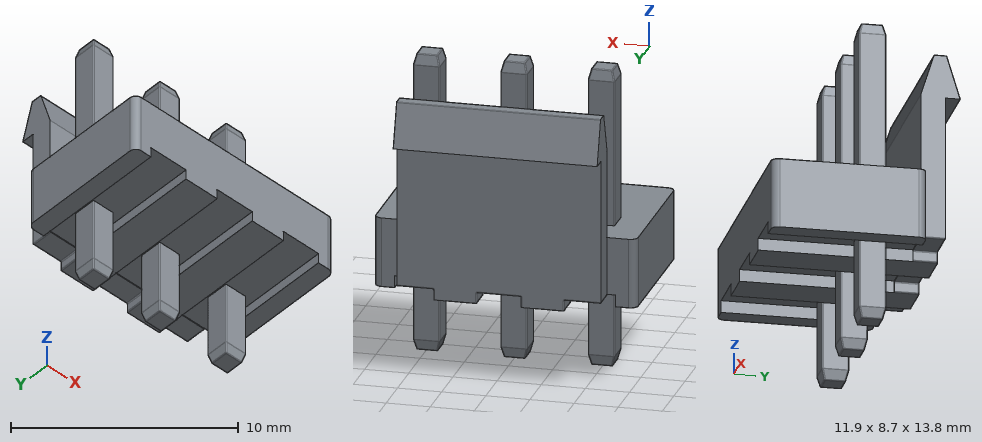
import cadquery as cq


pin_count = 3
pitch = 3.96
pin_width = 1.2
pin_above_housing = 7.2
pin_below_housing = 3.4
pin_tip_length = 0.5
pin_tip_inset = 0.13

edge_radius = 0.05

overall_depth = 8.7
housing_length = pin_count * pitch
housing_depth = 6.93
housing_height = 3.2
housing_corner_radius = 0.35
pin_to_housing_back = 2.14
housing_back = pin_to_housing_back
housing_front = housing_back - housing_depth

latch_length = 9.24
latch_thickness = 1.11
latch_height = 9.1
latch_back = housing_back + latch_thickness
hook_tip = housing_front + overall_depth
hook_height = 1.98
ramp_height = 1.9
hook_bottom = latch_height - hook_height
ramp_bottom = latch_height - ramp_height
latch_top_setback = 0.6
latch_top_width = 0.56
latch_top_radius = 0.04

latch_notch_width = 2.0
latch_notch_height = 0.5
housing_notch_width = latch_notch_width + 2 * edge_radius
housing_notch_height = latch_notch_height + edge_radius

pin_positions = [(i - (pin_count - 1) / 2) * pitch for i in range(pin_count)]


def cut_notches(body, front, depth, width, height):
    """Cut one front-to-back notch into the underside of a body at each pin."""
    for x in pin_positions:
        notch = cq.Workplane("XY").box(width, depth, height, centered=(True, False, False))
        body = body.cut(notch.translate((x, front, 0)))
    return body


def make_housing():
    block = (
        cq.Workplane("XY")
        .center(0, (housing_back + housing_front) / 2)
        .rect(housing_length, housing_depth)
        .extrude(housing_height)
        .edges("|Z")
        .fillet(housing_corner_radius)
    )
    return cut_notches(block, housing_front, housing_depth, housing_notch_width, housing_notch_height)


def make_latch_wall():
    """Hooked wall with the two long edges of its flat top rounded."""
    top_front = housing_back + latch_top_setback
    profile = [
        (housing_back, 0),
        (housing_back, ramp_bottom),
        (top_front, latch_height),
        (top_front + latch_top_width, latch_height),
        (hook_tip, hook_bottom),
        (latch_back, hook_bottom),
        (latch_back, 0),
    ]
    wall = cq.Workplane("YZ").polyline(profile).close().extrude(latch_length / 2, both=True)
    return wall.faces(">Z").edges("|X").fillet(latch_top_radius)


def make_latch():
    """Latch wall with notches, rounded along the notches and around their back rims."""
    latch = cut_notches(
        make_latch_wall(), housing_back, latch_thickness, latch_notch_width, latch_notch_height
    )
    foot = cq.selectors.BoxSelector(
        (-latch_length, housing_back, -edge_radius),
        (latch_length, latch_back + edge_radius, latch_notch_height + edge_radius),
    )
    back_rim = cq.selectors.BoxSelector(
        (-latch_length, latch_back - edge_radius, edge_radius),
        (latch_length, latch_back + edge_radius, latch_notch_height + edge_radius),
    )
    lengthwise_edges = latch.edges("|Y").edges(foot)
    return lengthwise_edges.add(latch.edges(back_rim)).fillet(edge_radius)


def make_pin(x):
    """Square pin with both ends tapered and every edge slightly rounded."""
    pin_length = pin_below_housing + housing_height + pin_above_housing
    return (
        cq.Workplane("XY")
        .box(pin_width, pin_width, pin_length, centered=(True, True, False))
        .faces("<Z or >Z")
        .chamfer(pin_tip_length, pin_tip_inset)
        .edges()
        .fillet(edge_radius)
        .translate((x, 0, -pin_below_housing))
    )


result = make_housing().union(make_latch())
for pin_x in pin_positions:
    result = result.union(make_pin(pin_x))